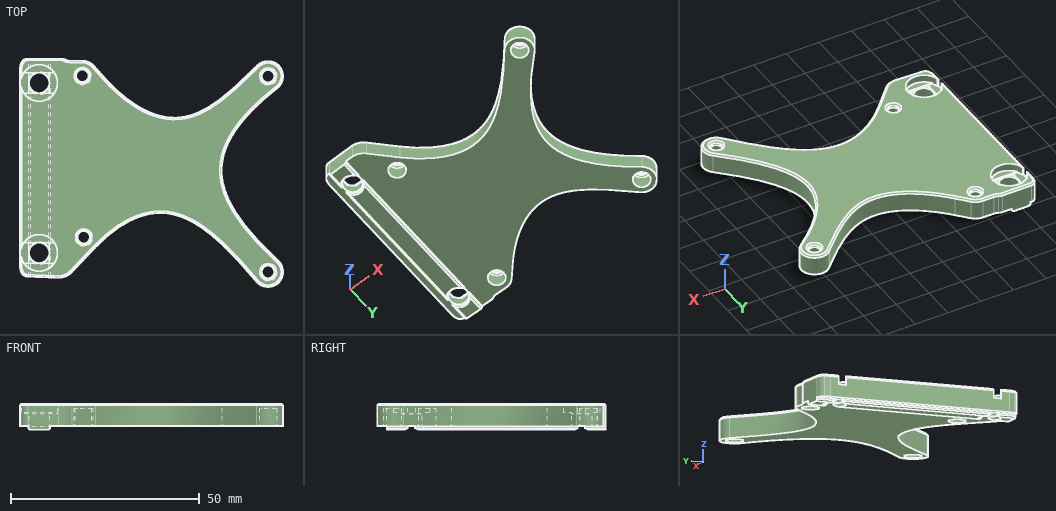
import cadquery as cq
import math

LENGTH_X = 69.72
WIDTH_Y = 60.52
PLATE_THICKNESS = 6.0
EDGE_CHAMFER = 0.5

CORNER_X = 2.15
CORNER_Y = 2.9
KNEE_X = 0.28
KNEE_Y = 1.3

BOSS_RADIUS = 4.0
ARM_X = LENGTH_X - BOSS_RADIUS
LOWER_ARM = (ARM_X, BOSS_RADIUS)
UPPER_ARM = (ARM_X, 55.85)
UPPER_SHOULDER = (16.55, 55.95)
LOWER_SHOULDER = (16.9, 13.2)
FAN_HOLES = [LOWER_ARM, UPPER_ARM, UPPER_SHOULDER, LOWER_SHOULDER]
SCREW_DIAMETER = 3.3
SCREW_CHAMFER = 0.5
INSERT_DIAMETER = 4.7
SCREW_WEB = 1.2

LOWER_ARM_OUTER_ANGLE = 220
LOWER_ARM_INNER_ANGLE = 47
UPPER_ARM_INNER_ANGLE = -52
UPPER_ARM_OUTER_ANGLE = 135
UPPER_SHOULDER_ANGLE = 42

LOWER_WAIST = (35.0, 19.45)
RIGHT_WAIST = (53.5, 32.2)
UPPER_WAIST = (41.2, 44.85)

BOTTOM_EDGE_Y = 2.75
BOTTOM_ROUND_START = (10.2, 2.42)
BOTTOM_ROUND_RADIUS = 4.9
LOWER_SLOPE_ANGLE = 46.5
LOWER_SLOPE_END_X = 19.9

STEP_START_X = 10.9
STEP_LENGTH = 2.3
UPPER_SLOPE_END_X = 22.5

RAIL_CENTRE_X = 5.1
RAIL_SCREW_YS = (9.05, 54.05)
RAIL_SCREW_DIAMETER = 5.4
HEAD_DIAMETER = 9.7
HEAD_DEPTH = 2.25
STEP_DEPTH = 0.25
EDGE_SLOT_WIDTH = 2.1
RAIL_WIDTH = 5.8
RAIL_HEIGHT = 1.0
RAIL_CHAMFER = 0.5
RAIL_RELIEF_DIAMETER = 6.1


def on_boss(centre, angle):
    """Point on a rounded end in the given direction."""
    a = math.radians(angle)
    return (centre[0] + BOSS_RADIUS * math.cos(a), centre[1] + BOSS_RADIUS * math.sin(a))


def heading(angle):
    """Unit vector in the given direction."""
    a = math.radians(angle)
    return (math.cos(a), math.sin(a))


def along(start, angle, end_x):
    """Point at end_x on the line through start in the given direction."""
    return (end_x, start[1] + (end_x - start[0]) * math.tan(math.radians(angle)))


def outline():
    """Closed plate outline, drawn counter-clockwise from the lower left corner."""
    slope = math.radians(LOWER_SLOPE_ANGLE)
    slope_start = (
        BOTTOM_ROUND_START[0] + BOTTOM_ROUND_RADIUS * math.sin(slope),
        BOTTOM_ROUND_START[1] + BOTTOM_ROUND_RADIUS * (1 - math.cos(slope)),
    )
    half_slope = slope / 2
    round_middle = (
        BOTTOM_ROUND_START[0] + BOTTOM_ROUND_RADIUS * math.sin(half_slope),
        BOTTOM_ROUND_START[1] + BOTTOM_ROUND_RADIUS * (1 - math.cos(half_slope)),
    )
    slope_end = along(slope_start, LOWER_SLOPE_ANGLE, LOWER_SLOPE_END_X)
    shoulder_exit = on_boss(UPPER_SHOULDER, UPPER_SHOULDER_ANGLE)
    upper_slope_heading = UPPER_SHOULDER_ANGLE - 90
    upper_slope_end = along(shoulder_exit, upper_slope_heading, UPPER_SLOPE_END_X)
    shoulder_top = on_boss(UPPER_SHOULDER, 90)
    step_end = (STEP_START_X + STEP_LENGTH, shoulder_top[1])
    step_middle = (STEP_START_X + STEP_LENGTH / 2, (WIDTH_Y + shoulder_top[1]) / 2)

    return (
        cq.Workplane("XY")
        .moveTo(CORNER_X, BOTTOM_EDGE_Y)
        .lineTo(*BOTTOM_ROUND_START)
        .threePointArc(round_middle, slope_start)
        .lineTo(*slope_end)
        .spline(
            [LOWER_WAIST, on_boss(LOWER_ARM, LOWER_ARM_OUTER_ANGLE)],
            tangents=[heading(LOWER_SLOPE_ANGLE), heading(LOWER_ARM_OUTER_ANGLE + 90)],
            includeCurrent=True,
        )
        .threePointArc(on_boss(LOWER_ARM, 0), on_boss(LOWER_ARM, LOWER_ARM_INNER_ANGLE))
        .spline(
            [RIGHT_WAIST, on_boss(UPPER_ARM, UPPER_ARM_INNER_ANGLE)],
            tangents=[heading(LOWER_ARM_INNER_ANGLE + 90), heading(UPPER_ARM_INNER_ANGLE + 90)],
            includeCurrent=True,
        )
        .threePointArc(on_boss(UPPER_ARM, 0), on_boss(UPPER_ARM, UPPER_ARM_OUTER_ANGLE))
        .spline(
            [UPPER_WAIST, upper_slope_end],
            tangents=[heading(UPPER_ARM_OUTER_ANGLE + 90), heading(upper_slope_heading + 180)],
            includeCurrent=True,
        )
        .lineTo(*shoulder_exit)
        .threePointArc(on_boss(UPPER_SHOULDER, (UPPER_SHOULDER_ANGLE + 90) / 2), shoulder_top)
        .lineTo(*step_end)
        .tangentArcPoint(step_middle, relative=False)
        .tangentArcPoint((STEP_START_X, WIDTH_Y), relative=False)
        .lineTo(CORNER_X, WIDTH_Y)
        .tangentArcPoint((KNEE_X, WIDTH_Y - KNEE_Y), relative=False)
        .tangentArcPoint((0, WIDTH_Y - CORNER_Y), relative=False)
        .lineTo(0, BOTTOM_EDGE_Y + CORNER_Y)
        .tangentArcPoint((KNEE_X, BOTTOM_EDGE_Y + KNEE_Y), relative=False)
        .tangentArcPoint((CORNER_X, BOTTOM_EDGE_Y), relative=False)
        .close()
    )


def plate():
    body = outline().extrude(PLATE_THICKNESS)
    return body.faces(">Z").edges().chamfer(EDGE_CHAMFER)


def rail():
    """Chamfered rail under the plate, trimmed to the plate outline."""
    bar = (
        cq.Workplane("XY")
        .box(RAIL_WIDTH, WIDTH_Y, RAIL_HEIGHT, centered=(True, False, False))
        .faces("<Z")
        .edges("|Y")
        .chamfer(RAIL_CHAMFER)
        .translate((RAIL_CENTRE_X, 0, -RAIL_HEIGHT))
    )
    return bar.intersect(outline().extrude(-RAIL_HEIGHT))


def cylinder(diameter, bottom, top):
    return cq.Workplane("XY").workplane(offset=bottom).circle(diameter / 2).extrude(top - bottom)


def fan_hole():
    """Screw hole chamfered on top, with a wider bore from below."""
    bore = cylinder(SCREW_DIAMETER, 0, PLATE_THICKNESS)
    insert = cylinder(INSERT_DIAMETER, 0, PLATE_THICKNESS - SCREW_WEB)
    lead_in = (
        cq.Workplane("XY")
        .workplane(offset=PLATE_THICKNESS)
        .circle(SCREW_DIAMETER / 2 + SCREW_CHAMFER)
        .workplane(offset=-SCREW_CHAMFER)
        .circle(SCREW_DIAMETER / 2)
        .loft()
    )
    return bore.union(insert).union(lead_in)


def rail_screw_hole():
    """Head pocket with two shallow steps, a through hole and an opening at the left edge."""
    head_floor = PLATE_THICKNESS - HEAD_DEPTH
    strip_floor = head_floor - STEP_DEPTH
    square_floor = strip_floor - STEP_DEPTH
    head = cylinder(HEAD_DIAMETER, head_floor, PLATE_THICKNESS)
    strip = cylinder(HEAD_DIAMETER, strip_floor, head_floor).intersect(
        cq.Workplane("XY").box(HEAD_DIAMETER, RAIL_SCREW_DIAMETER, 2 * PLATE_THICKNESS)
    )
    square = (
        cq.Workplane("XY")
        .workplane(offset=square_floor)
        .rect(RAIL_SCREW_DIAMETER, RAIL_SCREW_DIAMETER)
        .extrude(STEP_DEPTH)
    )
    edge_slot = (
        cq.Workplane("XY")
        .workplane(offset=strip_floor)
        .center(-RAIL_CENTRE_X / 2, 0)
        .rect(RAIL_CENTRE_X, EDGE_SLOT_WIDTH)
        .extrude(PLATE_THICKNESS - strip_floor)
    )
    shank = cylinder(RAIL_SCREW_DIAMETER, -RAIL_HEIGHT, PLATE_THICKNESS)
    relief = cylinder(RAIL_RELIEF_DIAMETER, -RAIL_HEIGHT, 0)
    return head.union(strip).union(square).union(edge_slot).union(shank).union(relief)


result = plate().union(rail())
for x, y in FAN_HOLES:
    result = result.cut(fan_hole().translate((x, y, 0)))
for y in RAIL_SCREW_YS:
    result = result.cut(rail_screw_hole().translate((RAIL_CENTRE_X, y, 0)))